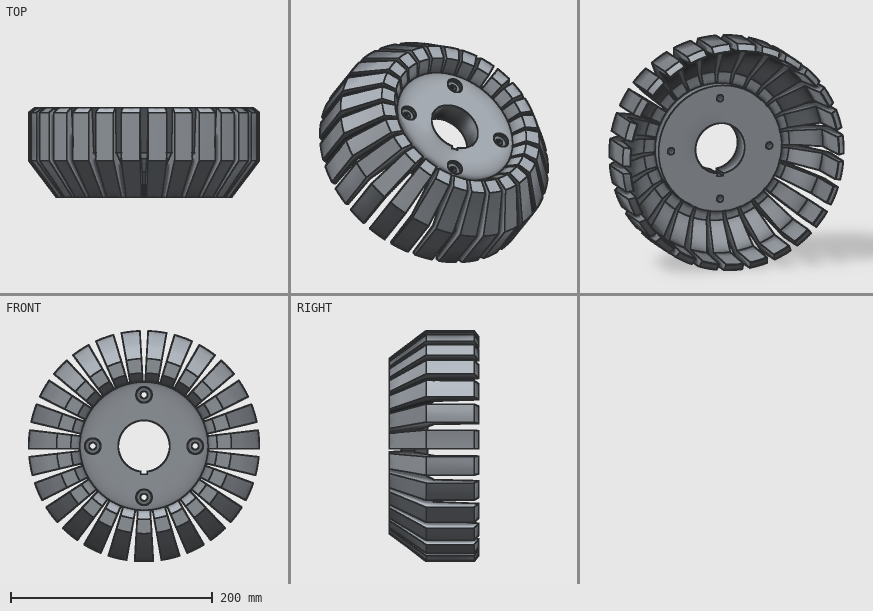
import cadquery as cq
import math

outer_radius = 114.3
depth = 89.0

front_rim_radius = 86.6
outer_bend_y = 36.5
back_chamfer_length = 4.8
back_chamfer_height = 6.2

back_inner_radius = 107.5
inner_bend_radius = 104.2
inner_bend_y = 44.3
web_outer_radius = 75.0

hub_radius = 63.5
hub_front_y = 12.8
web_thickness = 12.5
hub_length = 25.4
recess_mouth_radius = 72.5

bore_radius = 25.4
keyway_width = 6.5
keyway_reach = 27.9

bolt_count = 4
bolt_circle_radius = 50.7
bolt_diameter = 6.9
counterbore_diameter = 15.0
counterbore_depth = 3.9
counterbore_chamfer = 0.5

slot_count = 27
slot_floor_radius = 64.2
slot_outer_width = 8.0
slot_overrun = 11.5
slot_wall_angle = 360 / slot_count / 4

web_back_y = hub_front_y + web_thickness
hub_back_y = hub_front_y + hub_length


def plane_at(y):
    """Plane facing +Y at depth y, with local x along -X and local y along +Z."""
    return cq.Plane(origin=(0, y, 0), xDir=(-1, 0, 0), normal=(0, 1, 0))


def wheel_body():
    """Solid of revolution about Y: bored hub, web and bent outer shell."""
    profile = [
        (bore_radius, hub_front_y),
        (hub_radius, hub_front_y),
        (recess_mouth_radius, 0),
        (front_rim_radius, 0),
        (outer_radius, outer_bend_y),
        (outer_radius, depth - back_chamfer_length),
        (outer_radius - back_chamfer_height, depth),
        (back_inner_radius, depth),
        (inner_bend_radius, inner_bend_y),
        (web_outer_radius, web_back_y),
        (hub_radius, web_back_y),
        (hub_radius, hub_back_y),
        (bore_radius, hub_back_y),
    ]
    return cq.Workplane("XY").polyline(profile).close().revolve(360, (0, 0, 0), (0, 1, 0))


def slots():
    """Flat-bottomed wedges that widen outward and split the shell into blades, the first one at +Z."""
    cutter_radius = outer_radius + slot_overrun
    taper = math.tan(math.radians(slot_wall_angle))
    floor_half_width = slot_outer_width / 2 - taper * (outer_radius - slot_floor_radius)
    cutter_half_width = slot_outer_width / 2 + taper * (cutter_radius - outer_radius)
    wedge = (
        cq.Workplane(plane_at(0))
        .polyline([
            (-floor_half_width, slot_floor_radius),
            (floor_half_width, slot_floor_radius),
            (cutter_half_width, cutter_radius),
            (-cutter_half_width, cutter_radius),
        ])
        .close()
        .extrude(depth)
    )
    cutters = cq.Workplane("XY")
    for i in range(slot_count):
        cutters.add(wedge.rotate((0, 0, 0), (0, 1, 0), i * 360 / slot_count))
    return cutters.combine()


def keyway():
    """Rectangular keyway on the -Z side of the bore, through the hub."""
    return (
        cq.Workplane(plane_at(hub_front_y))
        .center(0, -keyway_reach / 2)
        .rect(keyway_width, keyway_reach)
        .extrude(hub_length)
    )


def bolt_hole():
    """Revolved cutter for one bolt hole, counterbored from the front with a broken edge."""
    counterbore_radius = counterbore_diameter / 2
    profile = [
        (0, hub_front_y),
        (counterbore_radius + counterbore_chamfer, hub_front_y),
        (counterbore_radius, hub_front_y + counterbore_chamfer),
        (counterbore_radius, hub_front_y + counterbore_depth),
        (bolt_diameter / 2, hub_front_y + counterbore_depth),
        (bolt_diameter / 2, hub_back_y),
        (0, hub_back_y),
    ]
    return cq.Workplane("XY").polyline(profile).close().revolve(360, (0, 0, 0), (0, 1, 0))


result = wheel_body().cut(slots()).cut(keyway())

for i in range(bolt_count):
    angle = 2 * math.pi * i / bolt_count
    bolt_x = bolt_circle_radius * math.cos(angle)
    bolt_z = bolt_circle_radius * math.sin(angle)
    result = result.cut(bolt_hole().translate((bolt_x, 0, bolt_z)))